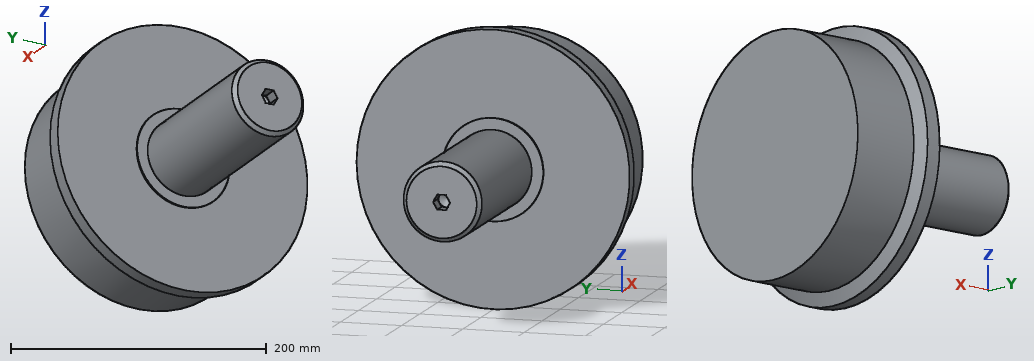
import cadquery as cq
import math

total_length = 216.0
body_width = 57.5
cone_width = 4.5
flange_width = 12.5
collar_width = 1.3

flange_diameter = 223.0
body_diameter = 200.3
collar_diameter = 82.5
shaft_diameter = 64.0
shaft_chamfer = 3.3

socket_flats = 12.0
socket_depth = 12.0
drill_point_angle = 118.0

body_start = total_length - body_width
cone_start = body_start - cone_width
flange_start = cone_start - flange_width
collar_start = flange_start - collar_width


def cylinder(diameter, start, end):
    return cq.Workplane("YZ").workplane(offset=start).circle(diameter / 2).extrude(end - start)


def make_cone():
    profile = [
        (cone_start, 0),
        (cone_start, flange_diameter / 2),
        (body_start, body_diameter / 2),
        (body_start, 0),
    ]
    return cq.Workplane("XY").polyline(profile).close().revolve(360, (0, 0, 0), (1, 0, 0))


def make_socket():
    corner_diameter = socket_flats / math.cos(math.pi / 6)
    hexagon = cq.Workplane("YZ").polygon(6, corner_diameter).extrude(socket_depth)
    point_radius = socket_flats / 2
    point_depth = point_radius / math.tan(math.radians(drill_point_angle / 2))
    profile = [(socket_depth, 0), (socket_depth, point_radius), (socket_depth + point_depth, 0)]
    point = cq.Workplane("XY").polyline(profile).close().revolve(360, (0, 0, 0), (1, 0, 0))
    return hexagon.union(point)


shaft = cylinder(shaft_diameter, 0, flange_start).faces("<X").chamfer(shaft_chamfer)
collar = cylinder(collar_diameter, collar_start, flange_start)
flange = cylinder(flange_diameter, flange_start, cone_start)
body = cylinder(body_diameter, body_start, total_length)

result = shaft.union(collar).union(flange).union(make_cone()).union(body).cut(make_socket())